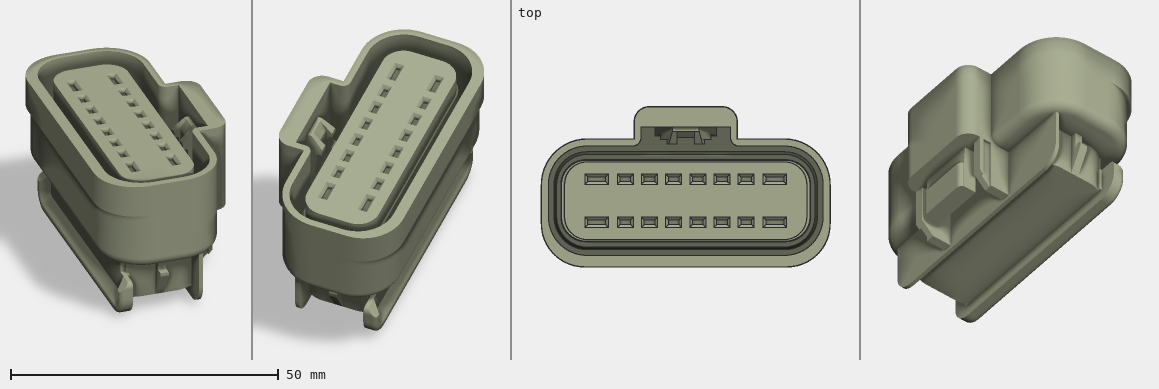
import cadquery as cq
import math

TOTAL_HEIGHT = 29.3
SHELL_BOTTOM = 11.75
RIM_HEIGHT = 6.28
CAVITY_FLOOR = 14.0
CORE_TOP = 28.1
BODY_BOTTOM = 2.3

PICK_MARGIN = 0.1

SHELL_LENGTH = 53.95
SHELL_WIDTH = 23.09
SHELL_RADIUS = 8.57
SHELL_BOTTOM_FILLET = 1.99
SHELL_WALL = 1.33
RIM_OVERHANG = 0.84
RIM_RADIUS = 8.1

HOOD_LENGTH = 19.3
HOOD_BACK = 17.585
HOOD_RADIUS = 2.9
HOOD_POCKET_LENGTH = 16.72
HOOD_POCKET_BACK = 13.74
HOOD_POCKET_FLARE = 1.55

CORE_LENGTH = 45.2
CORE_WIDTH = 14.5
CORE_RADIUS = 4.2
COLLAR_LENGTH = 46.8
COLLAR_WIDTH = 15.5
COLLAR_RADIUS = 4.8
COLLAR_TOP = 24.0
COLLAR_DRAFT = 0.2
RING_LENGTH = 49.2
RING_WIDTH = 18.3
RING_RADIUS = 6.2
RING_TOP = 18.0
RING_DRAFT = 0.5

SLOT_PITCH = 4.51
SLOTS_EACH_SIDE = 3
WIDE_SLOT_X = 16.63
ROW_Y = 4.02
SLOT_LENGTH = 2.0
WIDE_SLOT_LENGTH = 3.33
SLOT_WIDTH = 0.9
MOUTH_MARGIN = 0.5
MOUTH_DEPTH = 0.6
SLOT_DEPTH = 1.2

BODY_LENGTH = 40.6
BODY_FLAT_WIDTH = 6.9
BODY_RADIUS = 5.0
FRONT_WEB_LENGTH = 37.8
REAR_WEB_LENGTH = 39.0

FIN_REACH = 21.56
FIN_Y_MIN = -0.69
FIN_Y_MAX = 0.92
WEDGE_REACH = 23.1
WEDGE_TOP = 8.06
WEDGE_LIP = 0.65

PLATE_LENGTH = 47.8
PLATE_CORNER = 4.0
REAR_PLATE_INNER = 6.6
REAR_PLATE_OUTER = 7.4
FRONT_PLATE_INNER = -6.38
FRONT_PLATE_OUTER = -7.2

RIDGE_FRONT = -8.99
RIDGE_TOP = 7.4
RIDGE_BASE_WIDTH = 3.2
RIDGE_EDGE_WIDTH = 1.47
RIDGE_POCKET_CORNER = 0.6
RIDGE_OUTER_FILLET = 0.8
RIDGE_INNER_FILLET = 0.7
ARM_CORNER_FILLET = 1.1
GUSSET_INNER = -5.86

GUARD_THICKNESS = 1.8
GUARD_BACK = 14.16
GUARD_BOTTOM = 0.84
GUARD_CHAMFER = 2.6
GUARD_RECESS_FRONT = 11.55
GUARD_RECESS_BACK = 13.4
GUARD_RECESS_DEPTH = 0.5

LEVER_HALF_WIDTH = 5.7
LEVER_FRONT = 12.1
LEVER_BACK_TOP = 14.6
LEVER_BACK_LOW = 14.9
PAD_BACK = 15.7
PAD_TOP = 7.65
PAD_BOTTOM = 1.65
PAD_RADIUS = 1.2
HOOK_TOP = 25.7
HOOK_TOP_HALF_WIDTH = 2.5
HOOK_FOOT_HALF_WIDTH = 5.7
HOOK_CREST_FRONT = 12.95
HOOK_FOOT_FRONT = 12.1
HOOK_NOSE_FRONT = 10.55
HOOK_NOSE_BOTTOM = 22.2
HOOK_STEP_FRONT = 11.43
HOOK_STEP_BOTTOM = 17.5
HOOK_NOTCH_HALF_WIDTH = 1.6
HOOK_NOTCH_BACK = 11.8
HOOK_NOTCH_ANGLE = 60


def span_box(x_range, y_range, z_range):
    """Box between the given coordinate limits."""
    sizes = [high - low for low, high in (x_range, y_range, z_range)]
    corner = (x_range[0], y_range[0], z_range[0])
    return cq.Workplane("XY").box(*sizes, centered=False).translate(corner)


def rounded_block(length, width, radius, z_low, z_high, centre_y=0.0):
    """Box with rounded vertical corners."""
    block = cq.Workplane("XY").box(length, width, z_high - z_low, centered=(True, True, False))
    return block.edges("|Z").fillet(radius).translate((0, centre_y, z_low))


def drafted_block(length, width, radius, draft, z_low, z_high):
    """Rounded block that narrows by `draft` on every side toward its top."""
    height = z_high - z_low
    outline = cq.Sketch().rect(length, width).vertices().fillet(radius)
    angle = math.degrees(math.atan2(draft, height))
    return cq.Workplane("XY", origin=(0, 0, z_low)).placeSketch(outline).extrude(height, taper=angle)


def along_x(points, x_low, x_high):
    """Prism along X with a (y, z) outline."""
    return cq.Workplane("YZ", origin=(x_low, 0, 0)).polyline(points).close().extrude(x_high - x_low)


def along_y(points, y_low, y_high):
    """Prism along Y with an (x, z) outline."""
    return cq.Workplane("XZ", origin=(0, y_high, 0)).polyline(points).close().extrude(y_high - y_low)


def both_ends(half):
    """Part together with its mirror image across X = 0."""
    return half.union(half.mirror("YZ"))


def make_shell():
    shell = rounded_block(SHELL_LENGTH, SHELL_WIDTH, SHELL_RADIUS, SHELL_BOTTOM, TOTAL_HEIGHT)
    shell = shell.faces("<Z").edges().fillet(SHELL_BOTTOM_FILLET)
    rim_low = TOTAL_HEIGHT - RIM_HEIGHT
    rim = rounded_block(SHELL_LENGTH, SHELL_WIDTH, RIM_RADIUS, rim_low, TOTAL_HEIGHT, -RIM_OVERHANG)
    rim = rim.intersect(span_box((-SHELL_LENGTH, SHELL_LENGTH), (-SHELL_WIDTH, 0), (0, TOTAL_HEIGHT)))
    hood = span_box((-HOOD_LENGTH / 2, HOOD_LENGTH / 2), (0, HOOD_BACK), (SHELL_BOTTOM, TOTAL_HEIGHT))
    hood = hood.edges("|Z and >Y").fillet(HOOD_RADIUS)
    return shell.union(rim).union(hood)


def make_cavity():
    """Open space inside the shell and hood, with the corners between them rounded."""
    inner_length = SHELL_LENGTH - 2 * SHELL_WALL
    inner_width = SHELL_WIDTH - 2 * SHELL_WALL
    inner_radius = SHELL_RADIUS - SHELL_WALL
    cavity = rounded_block(inner_length, inner_width, inner_radius, CAVITY_FLOOR, TOTAL_HEIGHT)
    half = HOOD_POCKET_LENGTH / 2
    pocket = span_box((-half, half), (0, HOOD_POCKET_BACK), (CAVITY_FLOOR, TOTAL_HEIGHT))
    cavity = cavity.union(pocket)
    junction = cq.selectors.BoxSelector(
        (-half - PICK_MARGIN, inner_width / 2 - PICK_MARGIN, 0),
        (half + PICK_MARGIN, inner_width / 2 + PICK_MARGIN, TOTAL_HEIGHT),
    )
    return cavity.edges("|Z").edges(junction).fillet(HOOD_POCKET_FLARE)


def make_core():
    core = rounded_block(CORE_LENGTH, CORE_WIDTH, CORE_RADIUS, CAVITY_FLOOR, CORE_TOP)
    collar = drafted_block(COLLAR_LENGTH, COLLAR_WIDTH, COLLAR_RADIUS, COLLAR_DRAFT, CAVITY_FLOOR, COLLAR_TOP)
    ring = drafted_block(RING_LENGTH, RING_WIDTH, RING_RADIUS, RING_DRAFT, CAVITY_FLOOR, RING_TOP)
    return core.union(collar).union(ring)


def make_terminal_opening(x, y, length):
    slot_floor = cq.Workplane("XY", origin=(x, y, CORE_TOP - SLOT_DEPTH))
    slot = slot_floor.rect(length, SLOT_WIDTH).extrude(SLOT_DEPTH)
    mouth = (
        cq.Workplane("XY", origin=(x, y, CORE_TOP))
        .rect(length + 2 * MOUTH_MARGIN, SLOT_WIDTH + 2 * MOUTH_MARGIN)
        .workplane(offset=-MOUTH_DEPTH)
        .rect(length, SLOT_WIDTH)
        .loft()
    )
    return slot.union(mouth)


def make_body():
    """Lower body, its web to the rear plate, and a locking wedge on a fin at each end."""
    full_width = BODY_FLAT_WIDTH + 2 * BODY_RADIUS
    body = rounded_block(BODY_LENGTH, full_width, BODY_RADIUS, BODY_BOTTOM, CAVITY_FLOOR)
    between_plates = span_box(
        (-BODY_LENGTH, BODY_LENGTH), (FRONT_PLATE_INNER, REAR_PLATE_INNER), (0, CAVITY_FLOOR)
    )
    body = body.intersect(between_plates)
    half = REAR_WEB_LENGTH / 2
    rear_web = span_box((-half, half), (0, REAR_PLATE_INNER), (BODY_BOTTOM, CAVITY_FLOOR))
    foot = BODY_LENGTH / 2
    wedge_points = [
        (0, BODY_BOTTOM),
        (foot, BODY_BOTTOM),
        (WEDGE_REACH, WEDGE_TOP - WEDGE_LIP),
        (WEDGE_REACH, WEDGE_TOP),
        (FIN_REACH, WEDGE_TOP),
        (FIN_REACH, CAVITY_FLOOR),
        (0, CAVITY_FLOOR),
    ]
    fin = along_y(wedge_points, FIN_Y_MIN, FIN_Y_MAX)
    return body.union(rear_web).union(both_ends(fin))


def plate_blank(y_low, y_high, z_high):
    half = PLATE_LENGTH / 2
    return span_box((-half, half), (y_low, y_high), (0, z_high)).edges("|Y and <Z").fillet(PLATE_CORNER)


def make_front_plate():
    """Front plate with a rounded U-shaped ridge whose arms end in sloped tops."""
    half = PLATE_LENGTH / 2
    arm_envelope = plate_blank(RIDGE_FRONT, FRONT_PLATE_INNER, RIDGE_TOP)
    arm_envelope = arm_envelope.edges("|Y and >Z").fillet(ARM_CORNER_FILLET)
    ridge = plate_blank(RIDGE_FRONT, FRONT_PLATE_INNER, SHELL_BOTTOM)
    ridge = ridge.faces("<Y").edges().fillet(RIDGE_OUTER_FILLET)

    pocket_depth = FRONT_PLATE_OUTER - RIDGE_FRONT
    pocket_height = 2 * SHELL_BOTTOM
    flare = math.degrees(math.atan2(RIDGE_BASE_WIDTH - RIDGE_EDGE_WIDTH, pocket_depth))
    outline = cq.Sketch().rect(PLATE_LENGTH - 2 * RIDGE_BASE_WIDTH, pocket_height)
    outline = outline.vertices().fillet(RIDGE_POCKET_CORNER)
    pocket_centre = (0, FRONT_PLATE_OUTER, RIDGE_BASE_WIDTH + pocket_height / 2)
    pocket = cq.Workplane("XZ", origin=pocket_centre).placeSketch(outline).extrude(pocket_depth, taper=-flare)
    ridge = ridge.cut(pocket)
    margin = (RIDGE_OUTER_FILLET + RIDGE_EDGE_WIDTH) / 2
    inner_edges = cq.selectors.BoxSelector(
        (margin - half, RIDGE_FRONT - PICK_MARGIN, margin),
        (half - margin, RIDGE_FRONT + PICK_MARGIN, SHELL_BOTTOM + PICK_MARGIN),
        boundingbox=True,
    )
    ridge = ridge.edges(inner_edges).fillet(RIDGE_INNER_FILLET)

    ridge = ridge.intersect(arm_envelope)
    slope = [
        (FRONT_PLATE_OUTER, RIDGE_TOP),
        (FRONT_PLATE_OUTER - RIDGE_TOP, 0),
        (FRONT_PLATE_OUTER - RIDGE_TOP, RIDGE_TOP),
    ]
    ridge = ridge.cut(along_x(slope, -half, half))

    web_half = FRONT_WEB_LENGTH / 2
    web = span_box((-web_half, web_half), (FRONT_PLATE_OUTER, 0), (BODY_BOTTOM, CAVITY_FLOOR))
    gusset_half = BODY_LENGTH / 2
    gusset = span_box((-gusset_half, gusset_half), (FRONT_PLATE_INNER, GUSSET_INNER), (BODY_BOTTOM, RIDGE_TOP))
    return ridge.union(web).union(gusset)


def make_guards():
    outer = HOOD_LENGTH / 2
    profile = [
        (REAR_PLATE_INNER, GUARD_BOTTOM),
        (GUARD_BACK - GUARD_CHAMFER, GUARD_BOTTOM),
        (GUARD_BACK, GUARD_BOTTOM + GUARD_CHAMFER),
        (GUARD_BACK, CAVITY_FLOOR),
        (REAR_PLATE_INNER, CAVITY_FLOOR),
    ]
    guard = along_x(profile, outer - GUARD_THICKNESS, outer)
    recess = span_box(
        (outer - GUARD_RECESS_DEPTH, outer), (GUARD_RECESS_FRONT, GUARD_RECESS_BACK), (0, SHELL_BOTTOM)
    )
    return both_ends(guard.cut(recess))


def make_lever():
    profile = [
        (LEVER_FRONT, PAD_BOTTOM),
        (LEVER_BACK_LOW, PAD_BOTTOM),
        (LEVER_BACK_LOW, PAD_TOP),
        (LEVER_BACK_TOP, SHELL_BOTTOM),
        (LEVER_FRONT, SHELL_BOTTOM),
    ]
    lever = along_x(profile, -LEVER_HALF_WIDTH, LEVER_HALF_WIDTH)
    pad = span_box((-LEVER_HALF_WIDTH, LEVER_HALF_WIDTH), (LEVER_FRONT, PAD_BACK), (PAD_BOTTOM, PAD_TOP))
    return lever.union(pad.edges("|Z and >Y").fillet(PAD_RADIUS))


def make_hook():
    """Latch hook on the back wall of the hood pocket: a tapering arm with a sloped, notched nose."""
    foot = HOOK_FOOT_HALF_WIDTH
    taper_points = [
        (-foot, CAVITY_FLOOR),
        (foot, CAVITY_FLOOR),
        (HOOK_TOP_HALF_WIDTH, HOOK_TOP),
        (-HOOK_TOP_HALF_WIDTH, HOOK_TOP),
    ]
    taper = along_y(taper_points, HOOK_NOSE_FRONT, HOOD_POCKET_BACK)
    step_rise = (HOOK_STEP_BOTTOM - CAVITY_FLOOR) / (HOOK_TOP - CAVITY_FLOOR)
    step_back = HOOK_FOOT_FRONT + step_rise * (HOOK_CREST_FRONT - HOOK_FOOT_FRONT)
    nose_drop = HOOK_CREST_FRONT - HOOK_NOSE_FRONT
    profile = [
        (HOOD_POCKET_BACK, HOOK_TOP),
        (HOOK_CREST_FRONT, HOOK_TOP),
        (HOOK_NOSE_FRONT, HOOK_TOP - nose_drop),
        (HOOK_NOSE_FRONT, HOOK_NOSE_BOTTOM),
        (HOOK_STEP_FRONT, HOOK_NOSE_BOTTOM),
        (HOOK_STEP_FRONT, HOOK_STEP_BOTTOM),
        (step_back, HOOK_STEP_BOTTOM),
        (HOOK_FOOT_FRONT, CAVITY_FLOOR),
        (HOOD_POCKET_BACK, CAVITY_FLOOR),
    ]
    hook = taper.intersect(along_x(profile, -foot, foot))
    notch_drop = (HOOK_CREST_FRONT - HOOK_NOTCH_BACK) * math.tan(math.radians(HOOK_NOTCH_ANGLE))
    notch_profile = [
        (HOOK_CREST_FRONT, HOOK_TOP),
        (HOOK_NOTCH_BACK, HOOK_TOP - notch_drop),
        (HOOK_NOTCH_BACK, CAVITY_FLOOR),
        (HOOK_NOSE_FRONT, CAVITY_FLOOR),
        (HOOK_NOSE_FRONT, HOOK_TOP),
    ]
    notch = along_x(notch_profile, -HOOK_NOTCH_HALF_WIDTH, HOOK_NOTCH_HALF_WIDTH)
    return hook.cut(notch)


result = make_shell().cut(make_cavity()).union(make_core())
result = result.union(make_body())
result = result.union(plate_blank(REAR_PLATE_INNER, REAR_PLATE_OUTER, SHELL_BOTTOM))
result = result.union(make_front_plate())
result = result.union(make_guards())
result = result.union(make_lever())
result = result.union(make_hook())

for side in (-1, 1):
    for row in (-1, 1):
        for index in range(SLOTS_EACH_SIDE):
            slot_x = side * SLOT_PITCH * (index + 0.5)
            result = result.cut(make_terminal_opening(slot_x, row * ROW_Y, SLOT_LENGTH))
        result = result.cut(make_terminal_opening(side * WIDE_SLOT_X, row * ROW_Y, WIDE_SLOT_LENGTH))